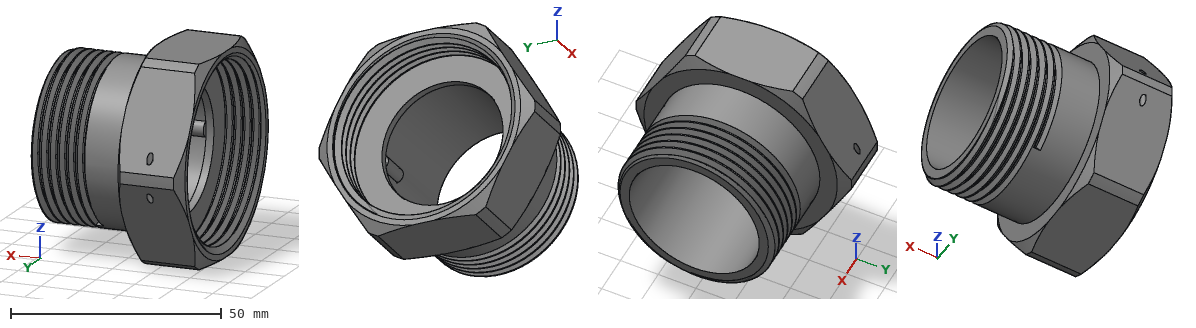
import cadquery as cq
import math

total_length = 42.0
hex_length = 17.2
across_flats = 50.8
corner_diameter = 57.0
hex_chamfer_length = 1.7
hex_chamfer_angle = 60.0

inch = 25.4
pitch = inch / 11
thread_depth = 0.6403 * pitch
flank_half_angle = 27.5
thread_flat = pitch / 6
overcut = 0.1

male_radius = 41.91 / 2
male_thread_start = 28.25
male_thread_turns = 7
male_start_angle = -60.0
end_chamfer_length = 0.85
end_chamfer_depth = 1.35

socket_depth = 10.0
female_minor_radius = 44.845 / 2
female_groove_offset = 0.3
entry_radius = 24.1
entry_chamfer_angle = 60.0
entry_chamfer_length = (entry_radius - female_minor_radius) / math.tan(math.radians(entry_chamfer_angle))

lip_radius = 16.0
lip_length = 2.0
bore_radius = 17.2
lip_end = socket_depth + lip_length

pin_radius = 2.0
pin_gap = 0.5
pin_length = 8.0
pin_protrusion = 0.5
pin_offset = lip_radius - pin_protrusion + pin_radius

wire_hole_diameter = 1.5
wire_hole_from_corner = 2.0


def revolved(points):
    """Solid of revolution about X from (x, radius) points."""
    return cq.Workplane("XY").polyline(points).close().revolve(360, (0, 0, 0), (1, 0, 0))


def hexagon():
    """Hexagon with a flat on top, its corners turned round and both faces chamfered."""
    across_corners = across_flats / math.cos(math.radians(30))
    prism = cq.Workplane("YZ").polygon(6, across_corners).extrude(hex_length)
    corner_radius = corner_diameter / 2
    face_radius = corner_radius - hex_chamfer_length * math.tan(math.radians(hex_chamfer_angle))
    envelope = revolved([
        (0, 0),
        (0, face_radius),
        (hex_chamfer_length, corner_radius),
        (hex_length - hex_chamfer_length, corner_radius),
        (hex_length, face_radius),
        (hex_length, 0),
    ])
    return prism.intersect(envelope)


def thread_cutter(crest_radius, cut_direction, start, length, start_angle):
    """Right-handed helical groove; cut_direction is +1 to cut outwards and -1 to cut inwards."""
    root_radius = crest_radius + cut_direction * thread_depth
    open_radius = crest_radius - cut_direction * overcut
    half_root = thread_flat / 2
    half_open = half_root + (thread_depth + overcut) * math.tan(math.radians(flank_half_angle))
    profile = (
        cq.Workplane("XZ")
        .polyline([
            (open_radius, -half_open),
            (root_radius, -half_root),
            (root_radius, half_root),
            (open_radius, half_open),
        ])
        .close()
    )
    path = cq.Wire.makeHelix(pitch, length, crest_radius)
    groove = profile.sweep(cq.Workplane(obj=path), isFrenet=True)
    along_x = groove.rotate((0, 0, 0), (1, 1, 1), 120)
    return along_x.rotate((0, 0, 0), (1, 0, 0), start_angle).translate((start, 0, 0))


def shank():
    """Round shank with the male thread, bevelled at its free end."""
    rod_overrun = 3 * pitch
    rod = cq.Workplane("YZ").circle(male_radius).extrude(total_length + rod_overrun)
    groove_length = male_thread_turns * pitch
    threaded = rod.cut(thread_cutter(male_radius, -1, male_thread_start, groove_length, male_start_angle))
    bevelled_outline = revolved([
        (0, 0),
        (0, male_radius),
        (total_length - end_chamfer_length, male_radius),
        (total_length, male_radius - end_chamfer_depth),
        (total_length, 0),
    ])
    return threaded.intersect(bevelled_outline)


def bore():
    """Everything turned out of the inside: socket with entry chamfer, lip and bore."""
    return revolved([
        (0, 0),
        (0, entry_radius),
        (entry_chamfer_length, female_minor_radius),
        (socket_depth, female_minor_radius),
        (socket_depth, lip_radius),
        (lip_end, lip_radius),
        (lip_end, bore_radius),
        (total_length, bore_radius),
        (total_length, 0),
    ])


def pin(side):
    """Straight pin parallel to the axis, half sunk in the bore wall; side is +1 or -1 along Y."""
    return (
        cq.Workplane("YZ", origin=(lip_end + pin_gap, 0, 0))
        .center(side * pin_offset, 0)
        .circle(pin_radius)
        .extrude(pin_length)
    )


def wire_hole():
    """Vertical hole through the +Y corner of the hexagon."""
    return (
        cq.Workplane("XY", origin=(hex_length / 2, corner_diameter / 2 - wire_hole_from_corner, 0))
        .circle(wire_hole_diameter / 2)
        .extrude(across_flats, both=True)
    )


def female_groove():
    """Groove running the full depth of the socket and stopping at its floor."""
    start = female_groove_offset - pitch
    groove = thread_cutter(female_minor_radius, 1, start, socket_depth + pitch - start, 0)
    beyond_floor = cq.Workplane("YZ", origin=(socket_depth, 0, 0)).circle(across_flats).extrude(total_length)
    return groove.cut(beyond_floor)


def housing_body(seated_pins):
    """One-piece fitting, with a matching seat for each pin."""
    body = hexagon().union(shank()).cut(bore()).cut(female_groove()).cut(wire_hole())
    for seated_pin in seated_pins:
        body = body.cut(seated_pin)
    return body


pins = [pin(side) for side in (-1, 1)]
housing = housing_body(pins)

result = cq.Compound.makeCompound([housing.val(), *[each_pin.val() for each_pin in pins]])